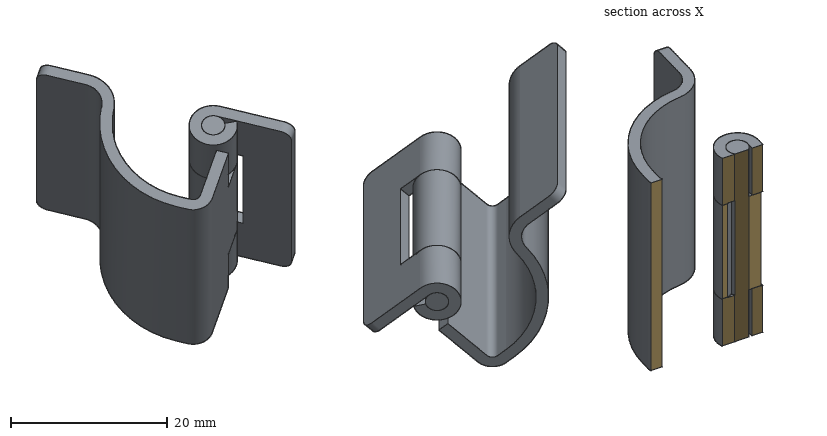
import cadquery as cq
import math

width = 34.0
height = 30.0
depth = 16.6
sheet = 1.6
corner_radius = 1.5

pin_radius = 1.5
curl_radius = pin_radius + sheet
pin_x = 24.0
pin_y = -curl_radius
curl_sweep = 298.0
knuckle_height = height / 2
notch_clearance = 0.4
wall_clearance = 0.55

flange_length = 6.5
flange_bend_radius = 4.6
bowl_x = 23.0
wall_bend_radius = 2.6
wall_x = pin_x + curl_radius
wall_inner_x = wall_x - sheet
wall_end_y = -2 * curl_radius - wall_clearance
flange_bend_inner = flange_bend_radius - sheet
wall_bend_inner = wall_bend_radius - sheet

center_dx = bowl_x - flange_length
center_drop = depth - flange_bend_radius
bowl_radius = (center_dx**2 + center_drop**2 - flange_bend_inner**2) / (
    2 * (flange_bend_inner + center_drop)
)
bowl_inner_radius = bowl_radius - sheet
bowl_center = (bowl_x, bowl_radius - depth)
bend_center = (flange_length, -flange_bend_radius)
wall_bend_center = (wall_x - wall_bend_radius, wall_bend_radius - depth)
tangent_angle = math.degrees(math.atan2(bowl_center[1] - bend_center[1], center_dx))


def polar(center, radius, degrees):
    """Point at a radius and angle from a center."""
    angle = math.radians(degrees)
    return (center[0] + radius * math.cos(angle), center[1] + radius * math.sin(angle))


def arc(sketch, center, radius, start, end):
    """Continue an outline along a circular arc that begins at its current point."""
    return sketch.threePointArc(polar(center, radius, (start + end) / 2), polar(center, radius, end))


def centered_extrude(sketch, length):
    """Extrude a plan outline equally above and below z = 0."""
    return sketch.extrude(length / 2, both=True)


def make_curl(start, length):
    """Sheet rolled counterclockwise round the pin from a start angle in degrees."""
    axis = (pin_x, pin_y)
    end = start + curl_sweep
    sketch = cq.Workplane("XY").moveTo(*polar(axis, curl_radius, start))
    sketch = arc(sketch, axis, curl_radius, start, end)
    sketch = sketch.lineTo(*polar(axis, pin_radius, end))
    sketch = arc(sketch, axis, pin_radius, end, start).close()
    return centered_extrude(sketch, length)


def make_block(x_start, x_end, y_start, y_end, length):
    """Box between two x and two y positions, centered on z = 0."""
    sketch = cq.Workplane("XY").moveTo(x_start, y_start).lineTo(x_end, y_start)
    sketch = sketch.lineTo(x_end, y_end).lineTo(x_start, y_end).close()
    return centered_extrude(sketch, length)


def make_formed_leaf():
    """Flange bent into a bowl and wall, with a central knuckle round the pin."""
    bowl_start = 180 + tangent_angle
    sketch = cq.Workplane("XY").lineTo(flange_length, 0)
    sketch = arc(sketch, bend_center, flange_bend_radius, 90, tangent_angle)
    sketch = arc(sketch, bowl_center, bowl_inner_radius, bowl_start, 270)
    sketch = sketch.lineTo(wall_bend_center[0], sheet - depth)
    sketch = arc(sketch, wall_bend_center, wall_bend_inner, 270, 360)
    sketch = sketch.lineTo(wall_inner_x, wall_end_y).lineTo(wall_x, wall_end_y)
    sketch = sketch.lineTo(wall_x, wall_bend_center[1])
    sketch = arc(sketch, wall_bend_center, wall_bend_radius, 360, 270)
    sketch = sketch.lineTo(bowl_x, -depth)
    sketch = arc(sketch, bowl_center, bowl_radius, 270, bowl_start)
    sketch = arc(sketch, bend_center, flange_bend_inner, tangent_angle, 90)
    sketch = sketch.lineTo(0, -sheet).close()
    leaf = centered_extrude(sketch, height)
    leaf = leaf.edges("|Y").edges("<X").fillet(corner_radius)
    tongue = make_block(wall_inner_x, wall_x, wall_end_y, pin_y, knuckle_height)
    return leaf.union(tongue).union(make_curl(0, knuckle_height))


def make_flat_leaf():
    """Flat flange with two outer knuckles and a notch for the central one."""
    flange = make_block(pin_x, width, -sheet, 0, height)
    flange = flange.edges("|Y and >X").fillet(corner_radius)
    leaf = flange.union(make_curl(90, height))
    notch_start = pin_x - curl_radius - notch_clearance
    notch_end = wall_x + notch_clearance
    notch_front = pin_y - curl_radius - notch_clearance
    notch = make_block(notch_start, notch_end, notch_front, 0, knuckle_height)
    return leaf.cut(notch)


def make_pin():
    """Plain pin, flush with the ends of the outer knuckles."""
    return centered_extrude(cq.Workplane("XY").center(pin_x, pin_y).circle(pin_radius), height)


formed_leaf = make_formed_leaf()
flat_leaf = make_flat_leaf()
pin = make_pin()

result = cq.Compound.makeCompound([formed_leaf.val(), flat_leaf.val(), pin.val()])